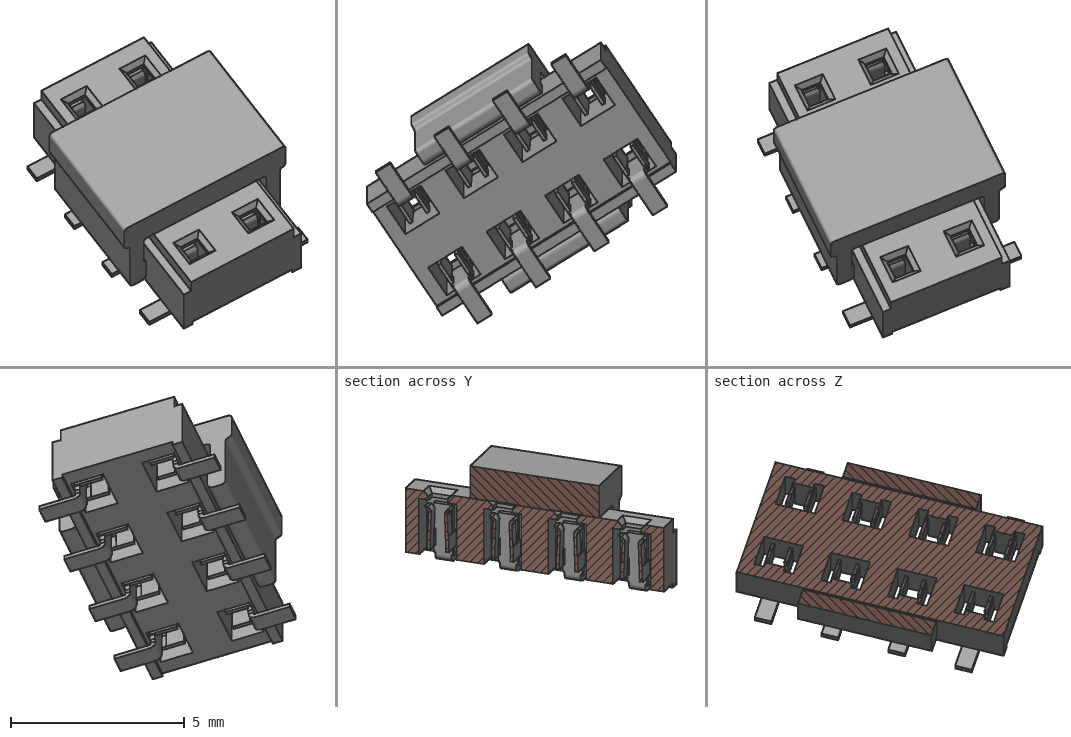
import cadquery as cq
import math


columns = 4
pitch = 2.0
row_y = 1.0
column_xs = [(i - (columns - 1) / 2) * pitch for i in range(columns)]
row_sides = (-1, 1)

housing_length = columns * pitch
housing_half_width = 2.0
housing_top = 2.3
shoulder_z = 1.87
shoulder_half_width = 1.75
foot_bottom = 0.17
floor_z = 0.3
foot_inner_y = 1.7

mouth_size = 0.88
shaft_size = 0.58
funnel_depth = 0.15
shaft_depth = 0.12
cavity_top = housing_top - funnel_depth - shaft_depth
cavity_half_width = 0.58
cavity_inner_y = 0.6

sheet = 0.15
tail_width = 0.5
tail_end_y = 2.7
plate_inner_y = 1.435
plate_outer_y = plate_inner_y + sheet
bend_inner_radius = 0.05
bend_outer_radius = bend_inner_radius + sheet
plate_half_width = 0.3
plate_flare_bottom = 0.23
plate_top = 1.8
arm_free_y = 0.75
arm_back_y = 1.29
arm_sheet = 0.1
arm_bottom = 0.5
arm_web_top = 1.0
arm_pinch_gap = 0.2
arm_root_gap = 0.24
arm_top = 1.83
arm_mouth_gap = 0.31
arm_mouth_radius = 0.12

cap_length = 4.0
cap_top = 3.3
cap_bottom = floor_z
cap_half_width = 2.75
leg_outer_y = 2.56
leg_inner_y = 2.085
cap_radius = 0.13
lip_blend_top = 2.43
lip_blend_bottom = 2.18
grip_top = 1.21
grip_radius = 0.2
grip_lead = leg_inner_y - housing_half_width


def centred_along_x(profile, length):
    """Extrude a closed YZ profile equally to both sides of X = 0."""
    return profile.extrude(length / 2, both=True)


def make_housing_block():
    """Stepped bar with a foot rib along each long edge."""
    half_outline = [
        (0, floor_z),
        (foot_inner_y, floor_z),
        (foot_inner_y, foot_bottom),
        (housing_half_width, foot_bottom),
        (housing_half_width, shoulder_z),
        (shoulder_half_width, shoulder_z),
        (shoulder_half_width, housing_top),
        (0, housing_top),
    ]
    half = centred_along_x(cq.Workplane("YZ").polyline(half_outline).close(), housing_length)
    return half.union(half.mirror("XZ"))


def make_socket_void(x, side):
    """Tapered mouth and shaft over the open-bottomed contact cavity."""
    y = side * row_y
    funnel = (
        cq.Workplane("XY", origin=(x, y, housing_top))
        .rect(mouth_size, mouth_size)
        .workplane(offset=-funnel_depth)
        .rect(shaft_size, shaft_size)
        .loft(combine=True)
    )
    shaft = (
        cq.Workplane("XY", origin=(x, y, floor_z))
        .rect(shaft_size, shaft_size)
        .extrude(housing_top - funnel_depth - floor_z)
    )
    cavity_depth_y = plate_outer_y - cavity_inner_y
    cavity_y = side * (plate_outer_y + cavity_inner_y) / 2
    cavity = (
        cq.Workplane("XY", origin=(x, cavity_y, floor_z))
        .rect(2 * cavity_half_width, cavity_depth_y)
        .extrude(cavity_top - floor_z)
    )
    return funnel.union(shaft).union(cavity)


def make_tail():
    """Solder tail bent up into the root of the contact plate."""
    profile = (
        cq.Workplane("YZ")
        .moveTo(tail_end_y, 0)
        .lineTo(plate_inner_y + bend_outer_radius, 0)
        .tangentArcPoint((plate_inner_y, bend_outer_radius), relative=False)
        .lineTo(plate_inner_y, plate_flare_bottom)
        .lineTo(plate_outer_y, plate_flare_bottom)
        .lineTo(plate_outer_y, sheet + bend_inner_radius)
        .tangentArcPoint((plate_outer_y + bend_inner_radius, sheet), relative=False)
        .lineTo(tail_end_y, sheet)
        .close()
    )
    return centred_along_x(profile, tail_width)


def make_plate():
    """Upright back plate, widening just above the tail."""
    root_half_width = tail_width / 2
    flare_top = floor_z
    outline = [
        (-root_half_width, plate_flare_bottom),
        (root_half_width, plate_flare_bottom),
        (plate_half_width, flare_top),
        (plate_half_width, plate_top),
        (-plate_half_width, plate_top),
        (-plate_half_width, flare_top),
    ]
    return (
        cq.Workplane("XZ", origin=(0, plate_inner_y, 0))
        .polyline(outline)
        .close()
        .extrude(-sheet)
    )


def make_arms():
    """Pair of spring arms that pinch together below a 45 degree mouth.

    The arms stand clear of the plate and join it through a web near the bottom.
    """
    arc_run = arm_mouth_radius * (1 - math.sqrt(0.5))
    arc_rise = arm_mouth_radius * math.sqrt(0.5)
    mouth_start_x = arm_pinch_gap + arc_run
    mouth_start_z = arm_top - (arm_mouth_gap - mouth_start_x)
    pinch_z = mouth_start_z - arc_rise
    arm = (
        cq.Workplane("XZ", origin=(0, arm_free_y, 0))
        .moveTo(arm_root_gap, arm_bottom)
        .lineTo(arm_pinch_gap, pinch_z)
        .radiusArc((mouth_start_x, mouth_start_z), arm_mouth_radius)
        .lineTo(arm_mouth_gap, arm_top)
        .lineTo(arm_mouth_gap + arm_sheet, arm_top)
        .lineTo(arm_pinch_gap + arm_sheet, pinch_z)
        .lineTo(arm_root_gap + arm_sheet, arm_bottom)
        .close()
        .extrude(arm_free_y - arm_back_y)
    )
    web = (
        cq.Workplane("XY", origin=(0, 0, arm_bottom))
        .moveTo(arm_root_gap + arm_sheet / 2, (arm_free_y + plate_outer_y) / 2)
        .rect(arm_sheet, plate_outer_y - arm_free_y)
        .extrude(arm_web_top - arm_bottom)
    )
    arm = arm.union(web)
    return arm.union(arm.mirror("YZ"))


def make_contact(x, side):
    contact = make_tail().union(make_plate()).union(make_arms())
    if side < 0:
        contact = contact.mirror("XZ")
    return contact.translate((x, 0, 0))


def make_connector():
    """Housing with its contacts fixed to the outer cavity walls."""
    connector = make_housing_block()
    places = [(x, side) for x in column_xs for side in row_sides]
    for x, side in places:
        connector = connector.cut(make_socket_void(x, side))
    for x, side in places:
        connector = connector.union(make_contact(x, side))
    return connector


def make_cap():
    """Flat-topped bridge whose two legs grip the sides of the housing."""
    lip_blend_middle = (
        (cap_half_width + leg_outer_y) / 2,
        (lip_blend_top + lip_blend_bottom) / 2,
    )
    profile = (
        cq.Workplane("YZ")
        .moveTo(0, cap_top)
        .lineTo(cap_half_width - cap_radius, cap_top)
        .tangentArcPoint((cap_half_width, cap_top - cap_radius), relative=False)
        .lineTo(cap_half_width, lip_blend_top)
        .tangentArcPoint(lip_blend_middle, relative=False)
        .tangentArcPoint((leg_outer_y, lip_blend_bottom), relative=False)
        .lineTo(leg_outer_y, cap_bottom + cap_radius)
        .tangentArcPoint((leg_outer_y - cap_radius, cap_bottom), relative=False)
        .lineTo(housing_half_width + grip_radius, cap_bottom)
        .tangentArcPoint((housing_half_width, cap_bottom + grip_radius), relative=False)
        .lineTo(housing_half_width, grip_top - grip_lead)
        .lineTo(leg_inner_y, grip_top)
        .lineTo(leg_inner_y, housing_top - cap_radius)
        .tangentArcPoint((leg_inner_y - cap_radius, housing_top), relative=False)
        .lineTo(0, housing_top)
        .close()
    )
    half = centred_along_x(profile, cap_length)
    return half.union(half.mirror("XZ"))


connector = make_connector()
cap = make_cap()

result = cq.Compound.makeCompound([connector.solids().val(), cap.solids().val()])